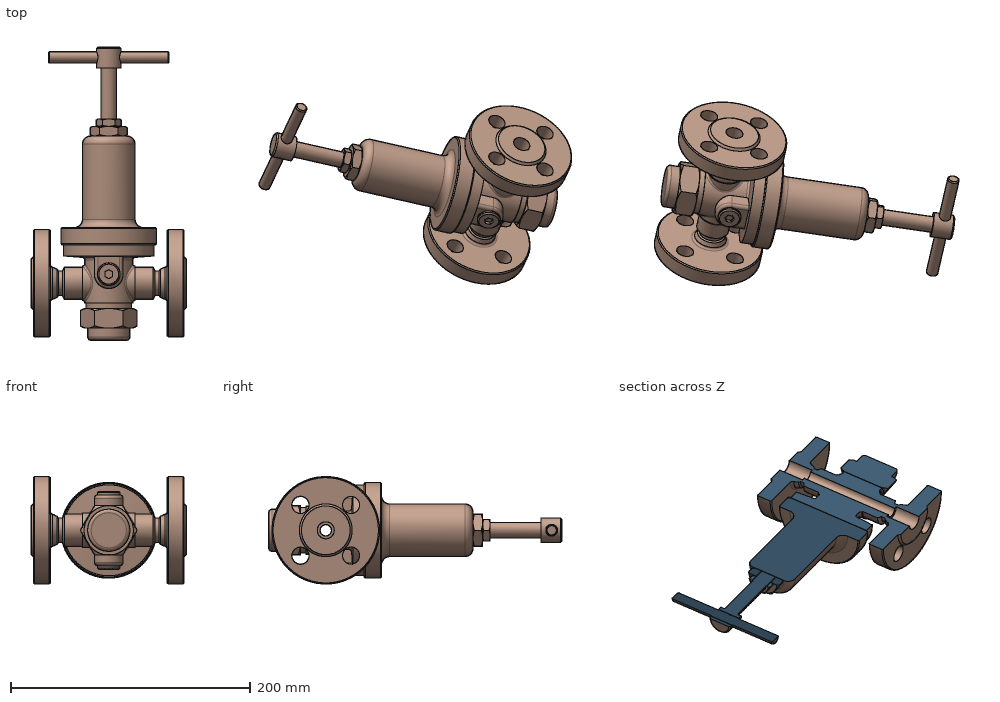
import cadquery as cq
import math


face_x = 65.0
raised_face_height = 2.0
raised_face_radius = 22.0
raised_face_chamfer = 1.7
flange_radius = 45.02
flange_back_x = 48.8
flange_chamfer = 1.0
hub_fillet = 2.0
hub_cone_x = flange_back_x - hub_fillet
hub_base_radius = 13.5
hub_end_x = 43.2
hub_end_radius = 11.8
weld_neck_start_x = 38.8
weld_neck_end_x = 42.2
weld_neck_radius = 10.3
nozzle_end_x = 37.0
nozzle_radius = 13.5
nozzle_root_x = 22.0
nozzle_root_radius = 14.5
nozzle_root_fillet = 1.7
flange_bore_radius = 7.0
flange_bore_depth = face_x - weld_neck_end_x
body_bore_radius = 4.7
bolt_hole_radius = 7.0
bolt_circle_radius = 30.0
bolt_hole_count = 4

collar_bottom_y = -21.0
collar_radius = 19.1
barrel_bottom_y = -16.5
barrel_radius = 20.0
barrel_top_y = 21.5
barrel_fillet = 2.0
body_ring_bottom_y = 22.8
body_ring_radius = 38.0

boss_center_y = 7.5
boss_radius = 12.0
boss_top_z = 29.7
boss_edge_fillet = 3.0
plug_head_radius = 9.5
plug_head_height = 3.0
plug_head_chamfer = 1.2
plug_shank_radius = 6.6
plug_shank_length = 7.4
plug_socket_flats = 6.6
plug_socket_depth = 2.5

bonnet_bottom_y = 32.1
bonnet_flange_top_y = 46.5
bonnet_flange_radius = 40.1
bonnet_flange_chamfer = 1.0
bonnet_radius = 22.0
bonnet_foot_fillet = 6.9
bonnet_top_y = 123.2
bonnet_top_fillet = 6.9

lower_nut_flats = 27.0
lower_nut_top_y = 131.2
upper_nut_flats = 18.2
upper_nut_top_y = 137.5
spindle_radius = 6.6
spindle_head_radius = 10.3
spindle_head_bottom_y = 179.8
spindle_head_top_y = 197.5
spindle_head_chamfer = 1.2
bar_radius = 5.0
bar_length = 101.0
bar_center_y = 189.0
bar_chamfer = 1.0

cap_hex_flats = 41.2
cap_hex_bottom_y = -37.5
cap_end_y = -47.8
cap_end_radius = 17.7
cap_end_fillet = 3.0

HEX_CORNER_RATIO = 2 / math.sqrt(3)
HEX_CHAMFER_SLOPE = math.tan(math.radians(30))


def y_cylinder(radius, start_y, end_y):
    """Cylinder on the spindle axis between two Y stations."""
    return cq.Workplane("XZ", origin=(0, start_y, 0)).circle(radius).extrude(start_y - end_y)


def y_hexagon(flats, start_y, end_y):
    """Hexagonal prism on the spindle axis, corners toward +X and -X, both ends chamfered round."""
    corner_radius = flats * HEX_CORNER_RATIO / 2
    rim_radius = flats / 2
    chamfer_height = (corner_radius - rim_radius) * HEX_CHAMFER_SLOPE
    prism = (
        cq.Workplane("XZ", origin=(0, start_y, 0))
        .polygon(6, 2 * corner_radius)
        .extrude(start_y - end_y)
    )
    envelope = (
        cq.Workplane("XY")
        .moveTo(0, start_y)
        .lineTo(rim_radius, start_y)
        .lineTo(corner_radius, start_y + chamfer_height)
        .lineTo(corner_radius, end_y - chamfer_height)
        .lineTo(rim_radius, end_y)
        .lineTo(0, end_y)
        .close()
        .revolve(360, (0, 0, 0), (0, 1, 0))
    )
    return prism.intersect(envelope)


def make_barrel():
    """Collar, barrel and top ring of the body, turned about the spindle axis."""
    return (
        cq.Workplane("XY")
        .moveTo(0, collar_bottom_y)
        .lineTo(collar_radius, collar_bottom_y)
        .lineTo(collar_radius, barrel_bottom_y)
        .lineTo(barrel_radius, barrel_bottom_y)
        .lineTo(barrel_radius, barrel_top_y - barrel_fillet)
        .radiusArc((barrel_radius + barrel_fillet, barrel_top_y), barrel_fillet)
        .lineTo(body_ring_radius, body_ring_bottom_y)
        .lineTo(body_ring_radius, bonnet_bottom_y)
        .lineTo(0, bonnet_bottom_y)
        .close()
        .revolve(360, (0, 0, 0), (0, 1, 0))
    )


def x_cylinder(radius, length):
    """Cylinder on the pipe axis, centred on the spindle axis."""
    return cq.Workplane("YZ", origin=(-length / 2, 0, 0)).circle(radius).extrude(length)


def add_nozzle_roots(barrel):
    """Thickened nozzle roots, filleted into the barrel and ending square at the root length."""
    stub_length = 2 * nozzle_end_x
    stubbed = barrel.union(x_cylinder(nozzle_root_radius, stub_length))
    around_roots = cq.selectors.BoxSelector(
        (-barrel_radius, -nozzle_root_radius, -barrel_radius),
        (barrel_radius, nozzle_root_radius, barrel_radius),
    )
    filleted = stubbed.edges(around_roots).fillet(nozzle_root_fillet)
    surplus = x_cylinder(nozzle_root_radius, stub_length).cut(x_cylinder(nozzle_root_radius, 2 * nozzle_root_x))
    return filleted.cut(surplus)


def make_flanged_nozzle():
    """Nozzle, weld neck, hub and flange on the +X side, turned about the pipe axis."""
    flange_face_x = face_x - raised_face_height
    profile = (
        cq.Workplane("XY")
        .lineTo(0, nozzle_radius)
        .lineTo(nozzle_end_x, nozzle_radius)
        .lineTo(weld_neck_start_x, weld_neck_radius)
        .lineTo(weld_neck_end_x, weld_neck_radius)
        .lineTo(hub_end_x, hub_end_radius)
        .lineTo(hub_cone_x, hub_base_radius)
        .radiusArc((flange_back_x, hub_base_radius + hub_fillet), -hub_fillet)
        .lineTo(flange_back_x, flange_radius - flange_chamfer)
        .lineTo(flange_back_x + flange_chamfer, flange_radius)
        .lineTo(flange_face_x - flange_chamfer, flange_radius)
        .lineTo(flange_face_x, flange_radius - flange_chamfer)
        .lineTo(flange_face_x, raised_face_radius)
        .lineTo(face_x, raised_face_radius - raised_face_chamfer)
        .lineTo(face_x, 0)
        .close()
    )
    nozzle = profile.revolve(360, (0, 0, 0), (1, 0, 0))
    bolt_holes = (
        cq.Workplane("YZ", origin=(flange_back_x, 0, 0))
        .polarArray(bolt_circle_radius, 45, 360, bolt_hole_count)
        .circle(bolt_hole_radius)
        .extrude(face_x - flange_back_x)
    )
    return nozzle.cut(bolt_holes)


def make_boss():
    """Gauge boss on the +Z side: a pad with a round end that runs up to the body ring."""
    pad = (
        cq.Workplane("XY")
        .moveTo(-boss_radius, body_ring_bottom_y)
        .lineTo(-boss_radius, boss_center_y)
        .threePointArc((0, boss_center_y - boss_radius), (boss_radius, boss_center_y))
        .lineTo(boss_radius, body_ring_bottom_y)
        .close()
        .extrude(boss_top_z)
    )
    return pad.faces(">Z").edges("not >Y").fillet(boss_edge_fillet)


def make_plug():
    """Screw plug of the +Z boss, with a hexagon socket."""
    shank = (
        cq.Workplane("XY", origin=(0, boss_center_y, boss_top_z - plug_shank_length))
        .circle(plug_shank_radius)
        .extrude(plug_shank_length)
    )
    head = (
        cq.Workplane("XY", origin=(0, boss_center_y, boss_top_z))
        .circle(plug_head_radius)
        .extrude(plug_head_height)
        .faces(">Z")
        .chamfer(plug_head_chamfer)
    )
    socket = (
        cq.Workplane("XY", origin=(0, boss_center_y, boss_top_z + plug_head_height))
        .transformed(rotate=(0, 0, 90))
        .polygon(6, plug_socket_flats * HEX_CORNER_RATIO)
        .extrude(-plug_socket_depth)
    )
    return head.union(shank).cut(socket)


def make_plugs():
    plug = make_plug()
    return [plug, plug.mirror("XY")]


def make_body(plugs):
    """Valve body with both flanged nozzles and both gauge bosses, bored along the pipe axis."""
    body = add_nozzle_roots(make_barrel())
    nozzle = make_flanged_nozzle()
    boss = make_boss()
    for part in (nozzle, nozzle.mirror("YZ"), boss, boss.mirror("XY")):
        body = body.union(part)

    through_bore = x_cylinder(body_bore_radius, 2 * face_x)
    flange_bore = (
        cq.Workplane("YZ", origin=(face_x, 0, 0)).circle(flange_bore_radius).extrude(-flange_bore_depth)
    )
    for cutter in (through_bore, flange_bore, flange_bore.mirror("YZ"), *plugs):
        body = body.cut(cutter)
    return body


def make_bonnet():
    """Spring bonnet, turned about the spindle axis."""
    rim = bonnet_flange_radius - bonnet_flange_chamfer
    foot_radius = bonnet_radius + bonnet_foot_fillet
    return (
        cq.Workplane("XY")
        .moveTo(0, bonnet_bottom_y)
        .lineTo(rim, bonnet_bottom_y)
        .lineTo(bonnet_flange_radius, bonnet_bottom_y + bonnet_flange_chamfer)
        .lineTo(bonnet_flange_radius, bonnet_flange_top_y - bonnet_flange_chamfer)
        .lineTo(rim, bonnet_flange_top_y)
        .lineTo(foot_radius, bonnet_flange_top_y)
        .radiusArc((bonnet_radius, bonnet_flange_top_y + bonnet_foot_fillet), bonnet_foot_fillet)
        .lineTo(bonnet_radius, bonnet_top_y - bonnet_top_fillet)
        .radiusArc((bonnet_radius - bonnet_top_fillet, bonnet_top_y), -bonnet_top_fillet)
        .lineTo(0, bonnet_top_y)
        .close()
        .revolve(360, (0, 0, 0), (0, 1, 0))
    )


def make_nut(flats, start_y, end_y):
    """Hexagon nut around the spindle."""
    return y_hexagon(flats, start_y, end_y).cut(y_cylinder(spindle_radius, start_y, end_y))


def make_handle_bar():
    """Round bar through the spindle head, chamfered at both ends."""
    return (
        cq.Workplane("YZ", origin=(-bar_length / 2, bar_center_y, 0))
        .circle(bar_radius)
        .extrude(bar_length)
        .faces("<X or >X")
        .chamfer(bar_chamfer)
    )


def make_spindle(handle_bar):
    """Spindle standing on the bonnet, with a round head cross-drilled for the handle bar."""
    stem = y_cylinder(spindle_radius, bonnet_top_y, spindle_head_bottom_y)
    head = (
        y_cylinder(spindle_head_radius, spindle_head_bottom_y, spindle_head_top_y)
        .faces(">Y")
        .chamfer(spindle_head_chamfer)
    )
    return stem.union(head).cut(handle_bar)


def make_cap():
    """Bottom cap: a hexagon with a round end."""
    end = (
        y_cylinder(cap_end_radius, cap_end_y, cap_hex_bottom_y)
        .faces("<Y")
        .edges()
        .fillet(cap_end_fillet)
    )
    return y_hexagon(cap_hex_flats, cap_hex_bottom_y, collar_bottom_y).union(end)


plugs = make_plugs()
body = make_body(plugs)
bonnet = make_bonnet()
lower_nut = make_nut(lower_nut_flats, bonnet_top_y, lower_nut_top_y)
upper_nut = make_nut(upper_nut_flats, lower_nut_top_y, upper_nut_top_y)
handle_bar = make_handle_bar()
spindle = make_spindle(handle_bar)
cap = make_cap()

result = cq.Compound.makeCompound(
    [
        body.val(),
        bonnet.val(),
        lower_nut.val(),
        upper_nut.val(),
        spindle.val(),
        handle_bar.val(),
        cap.val(),
        *[plug.val() for plug in plugs],
    ]
)